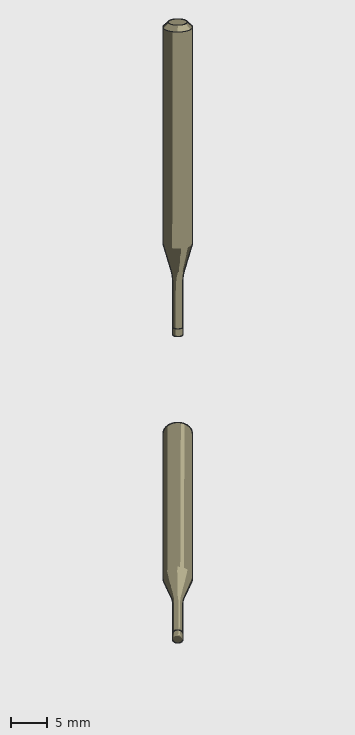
import cadquery as cq
import math

total_length = 45
shank_diameter = 4.0
shank_chamfer = 0.7

taper_top = 13.15
taper_half_angle = math.radians(15.8)
neck_top = 7.65

neck_diameter = 1.4
head_diameter = 1.5
head_length = 1.15
head_corner_radius = 0.2

shank_radius = shank_diameter / 2
neck_radius = neck_diameter / 2
head_radius = head_diameter / 2

taper_slope = math.tan(taper_half_angle)
radial_gap = shank_radius - neck_radius
taper_height = taper_top - neck_top
fillet_radius = (taper_height * taper_slope - radial_gap) / (1 / math.cos(taper_half_angle) - 1)


def fillet_point(angle):
    """Point (radius, height) on the neck fillet after turning by angle."""
    return (
        neck_radius + fillet_radius * (1 - math.cos(angle)),
        neck_top + fillet_radius * math.sin(angle),
    )


def revolve_profile(profile):
    """Turn a closed radius-height profile around the Z axis."""
    return profile.close().revolve(360, (0, 0, 0), (0, 1, 0))


def make_shank():
    """Chamfered shank, taper, fillet and slim neck, ending flat on the cutting head."""
    profile = (
        cq.Workplane("XZ")
        .moveTo(0, head_length)
        .lineTo(neck_radius, head_length)
        .lineTo(neck_radius, neck_top)
        .threePointArc(fillet_point(taper_half_angle / 2), fillet_point(taper_half_angle))
        .lineTo(shank_radius, taper_top)
        .lineTo(shank_radius, total_length - shank_chamfer)
        .lineTo(shank_radius - shank_chamfer, total_length)
        .lineTo(0, total_length)
    )
    return revolve_profile(profile)


def make_cutting_head():
    """Short cutting head, wider than the neck, rounded at the bottom corner."""
    corner_offset = head_corner_radius * (1 - math.sqrt(0.5))
    profile = (
        cq.Workplane("XZ")
        .lineTo(head_radius - head_corner_radius, 0)
        .threePointArc(
            (head_radius - corner_offset, corner_offset),
            (head_radius, head_corner_radius),
        )
        .lineTo(head_radius, head_length)
        .lineTo(0, head_length)
    )
    return revolve_profile(profile)


shank = make_shank()
cutting_head = make_cutting_head()

result = cq.Compound.makeCompound([shank.val(), cutting_head.val()])